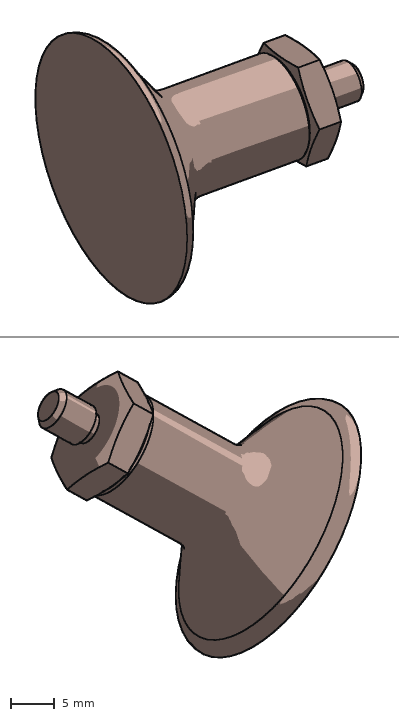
import cadquery as cq
import math

total_height = 33.0

rim_diameter = 32.67
rim_radius = 1.52
bell_top_radius = 8.1
bell_top_height = 6.4
bell_bulge = 0.05

body_diameter = 13.0
body_base_height = 9.57
body_top_height = 23.0
body_chamfer = 0.25

nut_across_flats = 13.0
nut_thickness = 4.0
nut_face_radius = 5.5
nut_chamfer_angle = 15.0
nut_turn = 7.7

stud_diameter = 5.0
neck_diameter = 3.8
neck_top_height = 27.95
stud_chamfer_height = 0.65

nut_top_height = body_top_height + nut_thickness


def revolve_about_axis(profile):
    """Revolve a closed (radius, height) profile around the Y axis."""
    return profile.close().revolve(360, (0, 0, 0), (0, 1, 0))


def make_cup_and_body():
    outer = rim_diameter / 2
    body = body_diameter / 2
    bell_edge = outer - rim_radius

    rim_offset = rim_radius * math.sqrt(0.5)
    rim_mid = (bell_edge + rim_offset, rim_offset)

    flank_run = bell_edge - bell_top_radius
    flank_rise = bell_top_height - rim_radius
    flank_length = math.hypot(flank_run, flank_rise)
    flank_mid = (
        (bell_edge + bell_top_radius) / 2 + bell_bulge * flank_rise / flank_length,
        (rim_radius + bell_top_height) / 2 + bell_bulge * flank_run / flank_length,
    )

    blend_run = bell_top_radius - body
    blend_rise = body_base_height - bell_top_height
    blend_radius = (blend_run**2 + blend_rise**2) / (2 * blend_run)
    half_sweep = math.atan(blend_run / blend_rise)
    blend_mid = (
        body + blend_radius * (1 - math.cos(half_sweep)),
        body_base_height - blend_radius * math.sin(half_sweep),
    )

    profile = (
        cq.Workplane("XY")
        .lineTo(outer, 0)
        .threePointArc(rim_mid, (bell_edge, rim_radius))
        .threePointArc(flank_mid, (bell_top_radius, bell_top_height))
        .threePointArc(blend_mid, (body, body_base_height))
        .lineTo(body, body_top_height - body_chamfer)
        .lineTo(body - body_chamfer, body_top_height)
        .lineTo(0, body_top_height)
    )
    return revolve_about_axis(profile)


def make_nut():
    corner_radius = nut_across_flats / math.sqrt(3)
    chamfer_drop = (corner_radius - nut_face_radius) * math.tan(math.radians(nut_chamfer_angle))
    prism = (
        cq.Workplane("XZ", origin=(0, body_top_height, 0))
        .polygon(6, 2 * corner_radius)
        .extrude(-nut_thickness)
        .rotate((0, 0, 0), (0, 1, 0), -nut_turn)
    )
    trim_profile = (
        cq.Workplane("XY")
        .moveTo(0, body_top_height)
        .lineTo(nut_face_radius, body_top_height)
        .lineTo(corner_radius, body_top_height + chamfer_drop)
        .lineTo(corner_radius, nut_top_height - chamfer_drop)
        .lineTo(nut_face_radius, nut_top_height)
        .lineTo(0, nut_top_height)
    )
    return prism.intersect(revolve_about_axis(trim_profile))


def make_stud():
    neck = neck_diameter / 2
    stud = stud_diameter / 2
    profile = (
        cq.Workplane("XY")
        .moveTo(0, nut_top_height)
        .lineTo(neck, nut_top_height)
        .lineTo(neck, neck_top_height)
        .lineTo(stud, neck_top_height)
        .lineTo(stud, total_height - stud_chamfer_height)
        .lineTo(neck, total_height)
        .lineTo(0, total_height)
    )
    return revolve_about_axis(profile)


result = make_cup_and_body().union(make_nut()).union(make_stud())